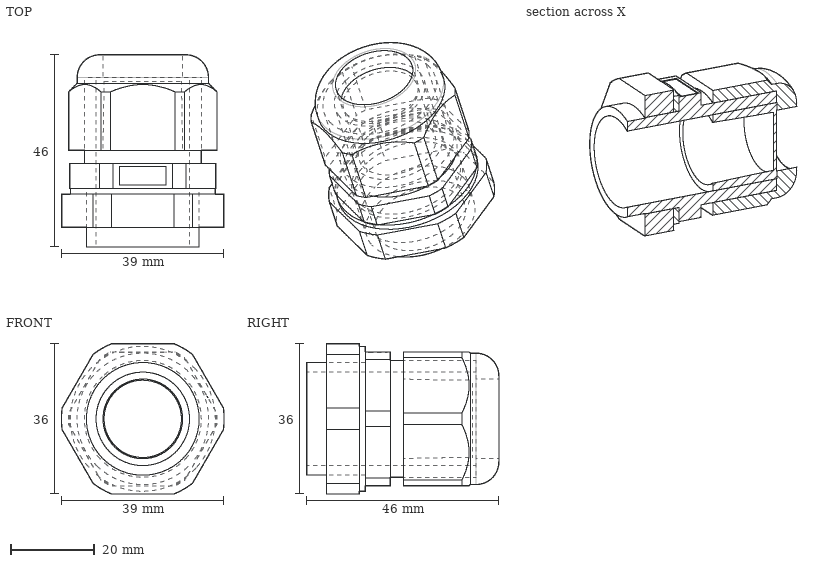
import cadquery as cq
import math


lock_nut_start = 4.75
lock_nut_end = 12.65
gasket_end = 14.05
body_hex_end = 20.0
cap_start = 23.15
cap_hex_end = 39.15
dome_start = 40.53
gland_length = 46.0

lock_nut_flats = 36.0
lock_nut_corner_diameter = 38.95
gland_flats = 32.0
body_corner_diameter = 35.05
cap_corner_diameter = 35.5

thread_radius = 13.5
gasket_radius = 17.35
neck_radius = 14.0
bore_radius = 11.2
dome_radius = 15.75
seal_mouth_radius = 9.5
seal_floor_radius = 9.25

label_width = 11.15
label_height = 4.4
label_depth = 0.2

seal_start = cap_start
membrane_thickness = 0.9


def cylinder(radius, start, end):
    """Cylinder around the Y axis between two stations."""
    return cq.Workplane("XZ", origin=(0, start, 0)).circle(radius).extrude(start - end)


def hexagon_prism(flats, start, end):
    """Sharp hexagonal prism around the Y axis with flats on top and bottom."""
    sharp_diameter = flats / math.cos(math.pi / 6)
    return cq.Workplane("XZ", origin=(0, start, 0)).polygon(6, sharp_diameter).extrude(start - end)


def turned_hexagon(flats, corner_diameter, start, end):
    """Hexagonal prism with its corners turned round."""
    return hexagon_prism(flats, start, end).intersect(cylinder(corner_diameter / 2, start, end))


def make_lock_nut():
    """Hexagonal nut on the entry thread."""
    nut = turned_hexagon(lock_nut_flats, lock_nut_corner_diameter, lock_nut_start, lock_nut_end)
    return nut.cut(cylinder(thread_radius, lock_nut_start, lock_nut_end))


def make_gasket():
    """Flat ring between the lock nut and the body hexagon."""
    ring = cylinder(gasket_radius, lock_nut_end, gasket_end)
    return ring.cut(cylinder(thread_radius, lock_nut_end, gasket_end))


def make_body():
    """Tube with an entry thread, a hexagon with a label recess, and a neck that carries the cap."""
    entry = cylinder(thread_radius, 0, gasket_end)
    hexagon = turned_hexagon(gland_flats, body_corner_diameter, gasket_end, body_hex_end)
    neck = cylinder(neck_radius, body_hex_end, dome_start)
    label = cq.Workplane("XY").box(label_width, label_height, 2 * label_depth).translate(
        (0, (gasket_end + body_hex_end) / 2, gland_flats / 2)
    )
    bore = cylinder(bore_radius, 0, dome_start)
    return entry.union(hexagon).union(neck).cut(bore).cut(label)


def make_cap():
    """Hexagonal cap nut with a 45 degree corner chamfer and a quarter-round dome."""
    corner_radius = cap_corner_diameter / 2
    dome_rise = gland_length - dome_start
    chamfer = corner_radius - dome_radius
    diagonal = dome_rise * math.sqrt(0.5)
    turned_outline = (
        cq.Workplane("XY")
        .moveTo(0, cap_start)
        .lineTo(corner_radius, cap_start)
        .lineTo(corner_radius, cap_hex_end - chamfer)
        .lineTo(dome_radius, cap_hex_end)
        .lineTo(dome_radius, dome_start)
        .threePointArc(
            (dome_radius - dome_rise + diagonal, dome_start + diagonal),
            (dome_radius - dome_rise, gland_length),
        )
        .lineTo(0, gland_length)
        .close()
        .revolve(360, (0, 0, 0), (0, 1, 0))
    )
    prism = hexagon_prism(gland_flats, cap_start, gland_length)
    neck_socket = cylinder(neck_radius, cap_start, dome_start)
    cable_opening = cylinder(seal_mouth_radius, dome_start, gland_length)
    return turned_outline.intersect(prism).cut(neck_socket).cut(cable_opening)


def make_seal():
    """Sleeve in the bore with a slightly tapered inside, closed by a membrane at its cap end."""
    membrane_start = dome_start - membrane_thickness
    return (
        cq.Workplane("XY")
        .moveTo(0, membrane_start)
        .lineTo(seal_floor_radius, membrane_start)
        .lineTo(seal_mouth_radius, seal_start)
        .lineTo(bore_radius, seal_start)
        .lineTo(bore_radius, dome_start)
        .lineTo(0, dome_start)
        .close()
        .revolve(360, (0, 0, 0), (0, 1, 0))
    )


lock_nut = make_lock_nut()
gasket = make_gasket()
body = make_body()
cap = make_cap()
seal = make_seal()

result = cq.Compound.makeCompound([lock_nut.val(), gasket.val(), body.val(), cap.val(), seal.val()])